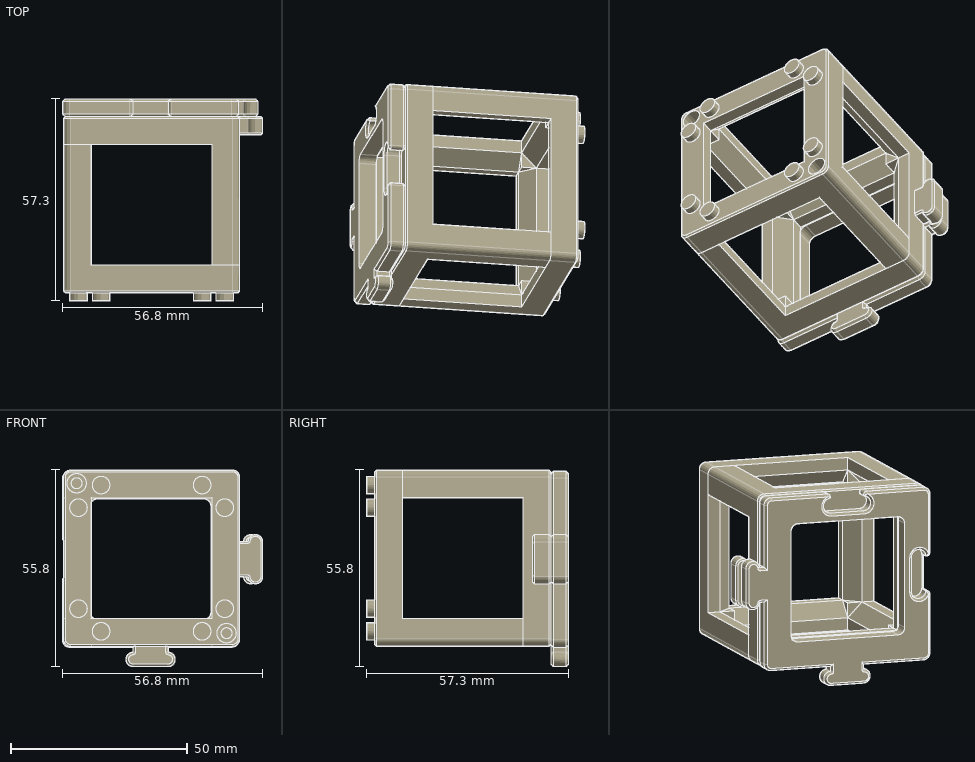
import cadquery as cq
import math

side = 49.95
bar = 7.9
corner_radius = 2.0
frame_chamfer = 0.5
inner_chamfer = 4.3

pin_diameter = 5.0
pin_height = 2.3
pin_near = 4.25
pin_far = 10.65

head_diameter = 5.5
head_depth = 5.75
screw_diameter = 3.1
screw_inset = 3.7

plate_thickness = 5.05
plate_shift = -0.3
plate_chamfer = 0.75

tab_reach = 5.5
neck_width = 10.0
head_length = 14.0
bulb_radius = 2.05
crotch_radius = 0.05
lip_radius = 1.0
slot_clearance = 0.1
key_thickness = 5.15
key_reach = 6.55

opening = side - 2 * bar
frame_middle = side / 2
plate_middle = side / 2 + plate_shift
plate_back = side + plate_thickness
neck_half = neck_width / 2
head_half = head_length / 2
bulb_middle_x = head_half - bulb_radius
bulb_middle_z = tab_reach - bulb_radius
root_depth = 4 * plate_chamfer


def prism_along_y(outline, y_back, length):
    """Extrude an XZ outline from y_back towards -Y."""
    return outline.extrude(length).translate((0, y_back, 0))


def turn_about_y(shape, angle, x, z):
    """Turn a shape about the Y axis, then move it to (x, z)."""
    return shape.rotate((0, 0, 0), (0, 1, 0), angle).translate((x, 0, z))


def opening_along_normal(plane):
    """Opening through the frame and the bevels inside it, centred on the origin.

    The four bevels lie on the inner edges of the bars that run along the plane's normal,
    and stop at the full-section corners of the frame.
    """
    half = opening / 2
    far = half + inner_chamfer
    octagon = [
        (far, half),
        (half, far),
        (-half, far),
        (-far, half),
        (-far, -half),
        (-half, -far),
        (half, -far),
        (far, -half),
    ]
    through = cq.Workplane(plane).rect(opening, opening).extrude(side, both=True)
    bevelled = cq.Workplane(plane).polyline(octagon).close().extrude(half, both=True)
    return through.union(bevelled)


def bar_frame():
    frame = (
        cq.Workplane("XY")
        .box(side, side, side)
        .edges("|Y")
        .fillet(corner_radius)
        .faces("<Y or >Y")
        .chamfer(frame_chamfer)
    )
    for plane in ("XY", "XZ", "YZ"):
        frame = frame.cut(opening_along_normal(plane))
    return frame.translate((frame_middle, frame_middle, frame_middle))


def front_half_region():
    """Front bars of the frame plus the upper-left and lower-right bars along Y."""
    region = cq.Workplane("XY").box(side, bar, side, centered=False)
    bar_length = side - bar
    for x, z in [(0, side - bar), (side - bar, 0)]:
        region = region.union(
            cq.Workplane("XY").box(bar, bar_length, bar, centered=False).translate((x, 0, z))
        )
    return region


def cut_screw_holes(body):
    """Two screw holes along Y that join the halves at opposite corners."""
    points = [(screw_inset, side - screw_inset), (side - screw_inset, screw_inset)]
    holes = cq.Workplane("XZ").pushPoints(points).circle(screw_diameter / 2)
    recesses = cq.Workplane("XZ").pushPoints(points).circle(head_diameter / 2)
    body = body.cut(prism_along_y(holes, side, side))
    return body.cut(prism_along_y(recesses, head_depth, head_depth))


def add_pins(body):
    """Eight pins on the front face, a pair beside each corner of the opening."""
    points = []
    for inset_x, inset_z in [(pin_near, pin_far), (pin_far, pin_near)]:
        points += [(x, z) for x in (inset_x, side - inset_x) for z in (inset_z, side - inset_z)]
    pins = cq.Workplane("XZ").pushPoints(points).circle(pin_diameter / 2).extrude(pin_height)
    return body.union(pins)


def make_front_frame(frame):
    return add_pins(cut_screw_holes(frame.intersect(front_half_region())))


def make_back_frame(frame):
    return cut_screw_holes(frame.cut(front_half_region()))


def neck_crossing(radius):
    """Z where a head end of the given radius runs into the side of the neck."""
    return bulb_middle_z - math.sqrt(radius ** 2 - (neck_half - bulb_middle_x) ** 2)


def tab(thickness, chamfer, y_back):
    """Neck with a wide, round-ended head, its front and back edges chamfered."""
    crossing = neck_crossing(bulb_radius)
    outline = (
        cq.Workplane("XZ")
        .moveTo(-neck_half, -root_depth)
        .lineTo(neck_half, -root_depth)
        .lineTo(neck_half, crossing)
        .threePointArc((head_half, bulb_middle_z), (bulb_middle_x, tab_reach))
        .lineTo(-bulb_middle_x, tab_reach)
        .threePointArc((-head_half, bulb_middle_z), (-neck_half, crossing))
        .close()
    )
    solid = outline.extrude(thickness)
    crotches = cq.selectors.BoxSelector(
        (-head_half, -thickness, crossing - crotch_radius),
        (head_half, 0, crossing + crotch_radius),
    )
    solid = solid.edges("|Y").edges(crotches).fillet(crotch_radius)
    return solid.faces("<Y or >Y").chamfer(chamfer).translate((0, y_back, 0))


def slot_outline():
    """Pocket for the head of a tab, with rounded lips at its mouth, opening at Z = 0."""
    radius = bulb_radius + slot_clearance
    slot_end = bulb_middle_x + radius
    slot_bottom = bulb_middle_z + radius
    crossing = neck_crossing(radius)
    mouth_half = neck_half + lip_radius
    lip_middle = lip_radius * (1 - math.sqrt(0.5))
    return (
        cq.Workplane("XZ")
        .moveTo(-mouth_half, -root_depth)
        .lineTo(mouth_half, -root_depth)
        .lineTo(mouth_half, 0)
        .threePointArc((neck_half + lip_middle, lip_middle), (neck_half, lip_radius))
        .lineTo(neck_half, crossing)
        .threePointArc((slot_end, bulb_middle_z), (bulb_middle_x, slot_bottom))
        .lineTo(-bulb_middle_x, slot_bottom)
        .threePointArc((-slot_end, bulb_middle_z), (-neck_half, crossing))
        .lineTo(-neck_half, lip_radius)
        .threePointArc((-neck_half - lip_middle, lip_middle), (-mouth_half, 0))
        .close()
    )


def slot_cutters():
    """Slot through the plate, and two 45 degree flares that chamfer its front and back edges."""
    straight = prism_along_y(slot_outline(), plate_back, plate_thickness)
    flare = slot_outline().extrude(plate_chamfer, taper=-45)
    front_flare = flare.translate((0, side + plate_chamfer, 0))
    back_flare = flare.mirror("XZ").translate((0, plate_back - plate_chamfer, 0))
    return [straight, front_flare, back_flare]


def make_plate():
    middle = (plate_middle, side + plate_thickness / 2, plate_middle)
    plate = (
        cq.Workplane("XY")
        .box(side, plate_thickness, side)
        .edges("|Y")
        .fillet(corner_radius)
        .faces("<Y or >Y")
        .chamfer(plate_chamfer)
        .translate(middle)
    )
    window = (
        cq.Workplane("XY")
        .box(opening, plate_thickness, opening)
        .edges("|Y")
        .fillet(corner_radius)
        .translate(middle)
    )
    plate = plate.cut(window)

    low_edge = plate_shift
    high_edge = plate_shift + side
    plate_tab = tab(plate_thickness, plate_chamfer, plate_back)
    plate = plate.union(turn_about_y(plate_tab, 90, high_edge, plate_middle))
    plate = plate.union(turn_about_y(plate_tab, 180, plate_middle, low_edge))

    for cutter in slot_cutters():
        plate = plate.cut(turn_about_y(cutter, 90, low_edge, plate_middle))
        plate = plate.cut(turn_about_y(cutter, 180, plate_middle, high_edge))
    return plate


def make_key():
    """Tab cut off flush where it meets the flat side of the frame."""
    key_tab = tab(key_thickness, frame_chamfer, side)
    key_tab = turn_about_y(key_tab, 90, side + key_reach - tab_reach, plate_middle)
    frame_block = cq.Workplane("XY").box(side, side, side, centered=False)
    return key_tab.cut(frame_block)


frame = bar_frame()
front_frame = make_front_frame(frame)
back_frame = make_back_frame(frame)
plate = make_plate()
key = make_key()

bodies = [front_frame, back_frame, plate, key]
result = cq.Compound.makeCompound([body.solids().val() for body in bodies])